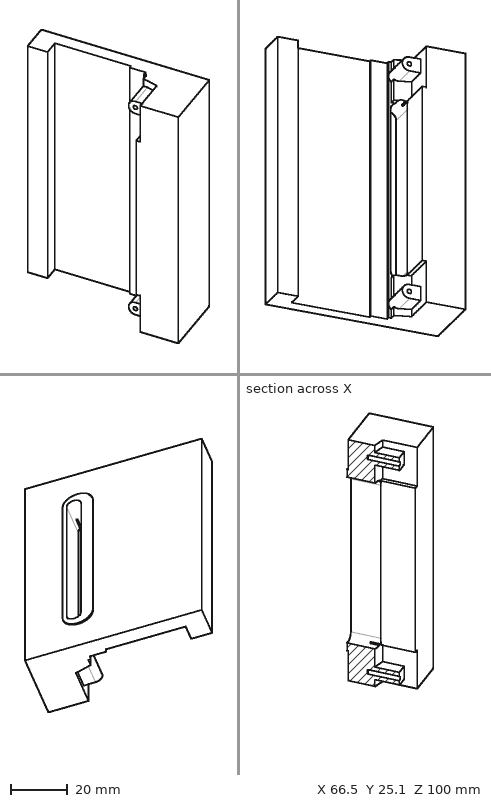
import cadquery as cq
width = 66.5
length = 100.0
depth = 24.6

hook_width = 7.9
hook_depth = 10.9
floor_depth = 5.1
step_x = 38.0
step_depth = 6.1
trough_x = 44.3
trough_depth = 7.4
rail_x = 49.8

recess_length = 16.0
recess_wall_x = 51.4
pad_x = 45.3
pad_depth_outer = 9.8
pad_depth_inner = 11.4
pad_length = 15.8

boss_x = 47.0
boss_radius = boss_x - trough_x
boss_front = 19.6
lower_boss_z = 5.5
boss_spacing = 88.9
screw_hole_diameter = 1.6

slot_left = 45.2
slot_width = 5.4
slot_x = slot_left + slot_width / 2
slot_length = 68.8
border_x = 46.5
border_width = 11.4
border_length = 75.2
border_height = 0.5


def prism(points, z_start, z_end):
    """Extrude an XY outline along Z; the second number is the depth from the back."""
    outline = [(x, -y) for x, y in points]
    return cq.Workplane("XY", origin=(0, 0, z_start)).polyline(outline).close().extrude(z_end - z_start)


def stadium(center_x, size_x, size_z, y_start, y_end):
    """Upright round-ended bar centred along the length, running from y_start to y_end."""
    plane = cq.Workplane("XZ", origin=(center_x, y_start, length / 2))
    return plane.slot2D(size_z, size_x, 90).extrude(y_start - y_end)


def main_body():
    return prism(
        [
            (0, 0),
            (0, hook_depth),
            (hook_width, hook_depth),
            (hook_width, floor_depth),
            (step_x, floor_depth),
            (step_x, step_depth),
            (trough_x, step_depth),
            (trough_x, trough_depth),
            (rail_x, trough_depth),
            (rail_x, depth),
            (width, depth),
            (width, 0),
        ],
        0,
        length,
    )


def end_recess(z_start, z_end):
    return prism(
        [
            (rail_x, trough_depth),
            (recess_wall_x, trough_depth),
            (recess_wall_x, depth),
            (rail_x, depth),
        ],
        z_start,
        z_end,
    )


def pad(z_start, z_end):
    return prism(
        [
            (pad_x, trough_depth),
            (pad_x, pad_depth_outer),
            (recess_wall_x, pad_depth_inner),
            (recess_wall_x, trough_depth),
        ],
        z_start,
        z_end,
    )


def boss(z):
    plane = cq.Workplane("XZ", origin=(boss_x, -trough_depth, z))
    height = boss_front - trough_depth
    web_length = recess_wall_x - boss_x
    web = plane.center(web_length / 2, 0).rect(web_length, 2 * boss_radius).extrude(height)
    return plane.circle(boss_radius).extrude(height).union(web)


def screw_hole(z):
    plane = cq.Workplane("XZ", origin=(boss_x, -trough_depth, z))
    return plane.circle(screw_hole_diameter / 2).extrude(boss_front - trough_depth)


result = main_body()
result = result.cut(end_recess(0, recess_length)).cut(end_recess(length - recess_length, length))
result = result.union(pad(0, recess_length)).union(pad(length - recess_length, length))

result = result.union(stadium(border_x, border_width, border_length, border_height, 0))
trough_side = [
    (pad_x, trough_depth),
    (slot_x, trough_depth),
    (slot_x, pad_depth_inner),
    (pad_x, pad_depth_inner),
]
result = result.cut(prism(trough_side, pad_length, length - pad_length))

result = result.cut(stadium(slot_x, slot_width, slot_length, border_height, -pad_depth_inner))

for boss_z in (lower_boss_z, lower_boss_z + boss_spacing):
    result = result.union(boss(boss_z)).cut(screw_hole(boss_z))